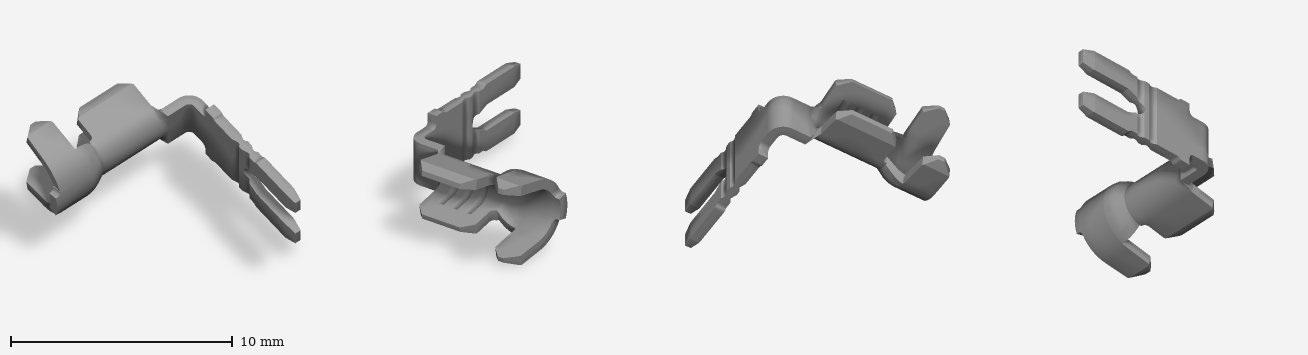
import cadquery as cq
import math

sheet = 0.5
overall_x = 10.64
overall_y = 8.38

bend_inner_radius = 0.3
bend_outer_radius = bend_inner_radius + sheet
neck_outer_x = 2.54
neck_inner_x = neck_outer_x + sheet
neck_end_y = 6.61
neck_half_height = 1.07
neck_fillet = 0.26
shoulder_x = 4.15
blade_half_height = 1.71
waist_half_height = 1.59
waist_step_length = 0.3
waist_start_x = 4.62
waist_end_x = 7.66
prong_inner_half_height = 0.66
slot_root_x = 6.92
slot_root_radius = 0.34
slot_taper_end_x = 7.95
tip_height_start_x = 10.07
tip_height_reduction = 0.15
tip_thickness_start_x = 10.0
tip_thickness_reduction = 0.1

groove_bottoms_x = (6.42, 7.17)
groove_floor_start = 0.07
groove_floor_end = 0.12
groove_exit_reach = 0.21
groove_flank_share = 0.85
front_groove_ramp = 0.33
front_groove_depth = 0.12
back_groove_ramp = 0.25
back_groove_depth = 0.1

wing_bevel_length = 0.46
wing_tip_thickness = sheet / 2
wing_corner_cut = 0.52

wire_radius = 1.15
wire_lean = math.radians(11)
wire_center_x = neck_inner_x - wire_radius
wire_tip_x = 0.25
wire_start_y = 3.17
wire_end_y = 6.35

insulation_radius = 1.82
insulation_lean = math.radians(10)
insulation_back_x = 3.42
insulation_center_x = insulation_back_x - insulation_radius
insulation_tip_x = 0.0
insulation_end_y = 1.9
insulation_rim_back_y = 0.3
insulation_rim_tip_y = 0.51
insulation_rim_corner_y = 0.48
insulation_rim_corner_cut = 0.66

flare_start_y = 2.9
flare_edge_angle = math.radians(21)
flare_steps = 6
wing_root_fillet = 0.23

serration_ys = (4.0, 4.77, 5.53)
serration_width = 0.37
serration_floor_width = 0.1
serration_depth = 0.09
serration_half_height = 0.79

tab_inner_half_width = 0.56
tab_outer_half_width = 0.68
tab_fillet = 0.19


def polar(center_x, radius, angle):
    """Point at the given radius, with the angle measured from +Z towards +X."""
    return (center_x + radius * math.sin(angle), radius * math.cos(angle))


def mirror_z(point):
    return (point[0], -point[1])


def xz_plane(y):
    """XZ sketch plane at the given Y; extrusions from it run towards -Y."""
    return cq.Workplane("XZ", origin=(0, y, 0))


def ring_section(y, center_x, outer_radius, edge_angle):
    """Closed C-shaped section of one sheet thickness, open towards -X."""
    inner_radius = outer_radius - sheet
    outer_edge = polar(center_x, outer_radius, edge_angle)
    inner_edge = polar(center_x, inner_radius, edge_angle)
    return (
        xz_plane(y)
        .moveTo(*inner_edge)
        .lineTo(*outer_edge)
        .threePointArc((center_x + outer_radius, 0), mirror_z(outer_edge))
        .lineTo(*mirror_z(inner_edge))
        .threePointArc((center_x + inner_radius, 0), inner_edge)
        .close()
    )


def barrel(center_x, outer_radius, lean, tip_x, start_y, end_y):
    """Round back with two leaning wings whose outer faces are bevelled at the tips."""
    inner_radius = outer_radius - sheet
    inner_root = polar(center_x, inner_radius, lean)
    outer_root = polar(center_x, outer_radius, lean)
    wing_length = (inner_root[0] - tip_x) / math.cos(lean)

    def along_wing(root, distance, rise=0.0):
        x = root[0] - distance * math.cos(lean) + rise * math.sin(lean)
        z = root[1] + distance * math.sin(lean) + rise * math.cos(lean)
        return (x, z)

    inner_tip = along_wing(inner_root, wing_length)
    outer_tip = along_wing(inner_root, wing_length, wing_tip_thickness)
    bevel_start = along_wing(outer_root, wing_length - wing_bevel_length)
    return (
        xz_plane(end_y)
        .moveTo(*inner_root)
        .lineTo(*inner_tip)
        .lineTo(*outer_tip)
        .lineTo(*bevel_start)
        .lineTo(*outer_root)
        .threePointArc((center_x + outer_radius, 0), mirror_z(outer_root))
        .lineTo(*mirror_z(bevel_start))
        .lineTo(*mirror_z(outer_tip))
        .lineTo(*mirror_z(inner_tip))
        .lineTo(*mirror_z(inner_root))
        .threePointArc((center_x + inner_radius, 0), inner_root)
        .close()
        .extrude(end_y - start_y)
    )


def through_z(workplane):
    """Prism of an XY outline, tall enough to pass through the whole part."""
    return workplane.extrude(overall_y, both=True)


def blade_groove(face_y, inward, bottom_x, ramp, depth):
    """Groove with a long ramp on the bend side, a rounded floor and a steep exit."""
    floor_x = bottom_x + (groove_floor_end - groove_floor_start) / 2
    arc_y = face_y + inward * depth * groove_flank_share
    return through_z(
        cq.Workplane("XY")
        .moveTo(bottom_x - ramp, face_y)
        .lineTo(bottom_x - groove_floor_start, arc_y)
        .threePointArc((floor_x, face_y + inward * depth), (bottom_x + groove_floor_end, arc_y))
        .lineTo(bottom_x + groove_exit_reach, face_y)
        .close()
    )


def blade_and_neck():
    """Bent strip profile trimmed to the blade outline, with the fork slot and grooves cut."""
    front_y = overall_y - sheet
    edge_profile = through_z(
        cq.Workplane("XY")
        .moveTo(neck_outer_x, neck_end_y)
        .lineTo(neck_outer_x, overall_y - bend_outer_radius)
        .radiusArc((neck_outer_x + bend_outer_radius, overall_y), bend_outer_radius)
        .lineTo(tip_thickness_start_x, overall_y)
        .lineTo(overall_x, overall_y - tip_thickness_reduction)
        .lineTo(overall_x, front_y + tip_thickness_reduction)
        .lineTo(tip_thickness_start_x, front_y)
        .lineTo(neck_inner_x + bend_inner_radius, front_y)
        .radiusArc((neck_inner_x, front_y - bend_inner_radius), -bend_inner_radius)
        .lineTo(neck_inner_x, neck_end_y)
        .close()
    )
    half_step = waist_step_length / 2
    middle_half_height = (blade_half_height + waist_half_height) / 2
    upper_half = (
        xz_plane(overall_y)
        .moveTo(0, 0)
        .lineTo(0, neck_half_height)
        .lineTo(shoulder_x - neck_fillet, neck_half_height)
        .radiusArc((shoulder_x, neck_half_height + neck_fillet), -neck_fillet)
        .lineTo(shoulder_x, blade_half_height)
        .lineTo(waist_start_x, blade_half_height)
        .tangentArcPoint((waist_start_x + half_step, middle_half_height), relative=False)
        .tangentArcPoint((waist_start_x + waist_step_length, waist_half_height), relative=False)
        .lineTo(waist_end_x, waist_half_height)
        .tangentArcPoint((waist_end_x + half_step, middle_half_height), relative=False)
        .tangentArcPoint((waist_end_x + waist_step_length, blade_half_height), relative=False)
        .lineTo(tip_height_start_x, blade_half_height)
        .lineTo(overall_x, blade_half_height - tip_height_reduction)
        .lineTo(overall_x, 0)
        .close()
        .extrude(overall_y)
    )
    outline = upper_half.union(upper_half.mirror("XY"))
    blade = edge_profile.intersect(outline).cut(fork_slot())
    for bottom_x in groove_bottoms_x:
        blade = blade.cut(blade_groove(front_y, 1, bottom_x, front_groove_ramp, front_groove_depth))
        blade = blade.cut(blade_groove(overall_y, -1, bottom_x, back_groove_ramp, back_groove_depth))
    return blade


def fork_slot():
    """Slot with a round root, straight flaring sides and parallel prongs."""
    center_x = slot_root_x + slot_root_radius
    run = slot_taper_end_x - center_x
    distance = math.hypot(run, prong_inner_half_height)
    corner_angle = math.atan2(run, prong_inner_half_height)
    tangent = polar(center_x, slot_root_radius, corner_angle - math.acos(slot_root_radius / distance))
    taper_end = (slot_taper_end_x, prong_inner_half_height)
    tip_start = (tip_height_start_x, prong_inner_half_height)
    tip_end = (overall_x, prong_inner_half_height + tip_height_reduction)
    return (
        xz_plane(overall_y)
        .moveTo(*tangent)
        .lineTo(*taper_end)
        .lineTo(*tip_start)
        .lineTo(*tip_end)
        .lineTo(*mirror_z(tip_end))
        .lineTo(*mirror_z(tip_start))
        .lineTo(*mirror_z(taper_end))
        .lineTo(*mirror_z(tangent))
        .threePointArc((slot_root_x, 0), tangent)
        .close()
        .extrude(sheet)
    )


def neck_transition():
    """Blend from the flat neck into the round back of the wire barrel."""
    inner_radius = wire_radius - sheet
    mid_angle = (wire_lean + math.pi / 2) / 2
    inner_edge = polar(wire_center_x, inner_radius, wire_lean)
    upper_flat = (
        xz_plane(neck_end_y)
        .moveTo(neck_outer_x, neck_half_height)
        .lineTo(neck_inner_x, neck_half_height)
        .lineTo(neck_inner_x, 0)
        .lineTo(neck_outer_x, 0)
        .close()
    )
    upper_round = (
        xz_plane(wire_end_y)
        .moveTo(*inner_edge)
        .lineTo(*polar(wire_center_x, wire_radius, wire_lean))
        .threePointArc(polar(wire_center_x, wire_radius, mid_angle), (neck_inner_x, 0))
        .lineTo(neck_outer_x, 0)
        .threePointArc(polar(wire_center_x, inner_radius, mid_angle), inner_edge)
        .close()
    )
    upper_half = cq.Workplane(cq.Solid.makeLoft([upper_flat.val(), upper_round.val()], True))
    return upper_half.union(upper_half.mirror("XY"))


def corner_cuts(center_x, outer_radius, lean, tip_x, edge_y, inward, length):
    """Cutters that bevel the same tip corner of both wings, square to the wing faces."""
    inner_root = polar(center_x, outer_radius - sheet, lean)
    tip_z = inner_root[1] + (inner_root[0] - tip_x) * math.tan(lean)
    upper = (
        cq.Workplane("XY", origin=(tip_x, edge_y, tip_z))
        .moveTo(-sheet, inward * (length + sheet))
        .lineTo(wing_corner_cut, 0)
        .lineTo(2 * wing_corner_cut, -inward * length)
        .lineTo(-sheet, -inward * length)
        .close()
        .extrude(2 * sheet, both=True)
        .rotate((tip_x, 0, tip_z), (tip_x, 1, tip_z), math.degrees(lean))
    )
    return upper.union(upper.mirror("XY"))


def serration(y):
    """Groove around the inside of the wire barrel with sloping flanks."""
    def bore_outline(offset_y, depth):
        radius = wire_radius - sheet + depth
        root = polar(wire_center_x, radius, wire_lean)
        surface_root = polar(wire_center_x, wire_radius - sheet, wire_lean)
        end_x = surface_root[0] - (serration_half_height - surface_root[1]) / math.tan(wire_lean)
        end = (end_x, root[1] + (root[0] - end_x) * math.tan(wire_lean))
        return (
            xz_plane(y + offset_y)
            .moveTo(*end)
            .lineTo(*root)
            .threePointArc((wire_center_x + radius, 0), mirror_z(root))
            .lineTo(*mirror_z(end))
            .close()
            .val()
        )

    outlines = [
        bore_outline(serration_width / 2, 0),
        bore_outline(serration_floor_width / 2, serration_depth),
        bore_outline(-serration_floor_width / 2, serration_depth),
        bore_outline(-serration_width / 2, 0),
    ]
    return cq.Workplane(cq.Solid.makeLoft(outlines, True))


def wire_barrel():
    """Wire barrel with bevelled wing corners and inner serrations."""
    shape = (wire_center_x, wire_radius, wire_lean, wire_tip_x)
    body = barrel(*shape, wire_start_y, wire_end_y)
    body = body.cut(corner_cuts(*shape, wire_start_y, 1, wing_corner_cut))
    body = body.cut(corner_cuts(*shape, wire_end_y, -1, wing_corner_cut))
    for y in serration_ys:
        body = body.cut(serration(y))
    return body


def wing_root():
    """Short continuation of the wire barrel back, with filleted wing roots."""
    edge_x = polar(wire_center_x, wire_radius - sheet, wire_lean)[0]
    wall = barrel(wire_center_x, wire_radius, wire_lean, wire_tip_x, flare_start_y, wire_start_y)
    fillet_start_y = wire_start_y - wing_root_fillet
    keep = through_z(
        cq.Workplane("XY")
        .moveTo(edge_x, flare_start_y)
        .lineTo(edge_x, fillet_start_y)
        .radiusArc((edge_x - wing_root_fillet, wire_start_y), -wing_root_fillet)
        .lineTo(neck_inner_x + sheet, wire_start_y)
        .lineTo(neck_inner_x + sheet, flare_start_y)
        .close()
    )
    return wall.intersect(keep)


def flare():
    """Bridge that widens quickly from the wire barrel and levels out at the insulation barrel."""
    sections = []
    for step in range(flare_steps + 1):
        fraction = step / flare_steps
        ease = math.sin(math.pi / 2 * fraction)
        y = flare_start_y + fraction * (insulation_end_y - flare_start_y)
        center_x = wire_center_x + ease * (insulation_center_x - wire_center_x)
        radius = wire_radius + ease * (insulation_radius - wire_radius)
        edge_angle = wire_lean + ease * (flare_edge_angle - wire_lean)
        sections.append(ring_section(y, center_x, radius, edge_angle).val())
    return cq.Workplane(cq.Solid.makeLoft(sections, False))


def insulation_barrel():
    """Insulation barrel with a slanting rim, bevelled wing corners and the cut-off tab."""
    shape = (insulation_center_x, insulation_radius, insulation_lean, insulation_tip_x)
    body = barrel(*shape, 0, insulation_end_y)
    below_rim = through_z(
        cq.Workplane("XY")
        .moveTo(insulation_tip_x, insulation_rim_tip_y)
        .lineTo(insulation_back_x, insulation_rim_back_y)
        .lineTo(insulation_back_x, 0)
        .lineTo(insulation_tip_x, 0)
        .close()
    )
    tab = body.intersect(tab_envelope())
    body = body.cut(below_rim)
    body = body.cut(corner_cuts(*shape, insulation_end_y, -1, wing_corner_cut))
    body = body.cut(corner_cuts(*shape, insulation_rim_corner_y, 1, insulation_rim_corner_cut))
    return body.union(tab)


def tab_envelope():
    """Tab that widens with concave fillets into the rim of the barrel."""
    root_y = insulation_rim_back_y
    top_y = insulation_rim_tip_y

    def outline(x, half_width):
        root_half_width = half_width + tab_fillet
        return (
            cq.Workplane("YZ", origin=(x, 0, 0))
            .moveTo(0, -half_width)
            .lineTo(0, half_width)
            .lineTo(root_y - tab_fillet, half_width)
            .radiusArc((root_y, root_half_width), -tab_fillet)
            .lineTo(top_y, root_half_width)
            .lineTo(top_y, -root_half_width)
            .lineTo(root_y, -root_half_width)
            .radiusArc((root_y - tab_fillet, -half_width), -tab_fillet)
            .close()
            .val()
        )

    reach_x = insulation_back_x - 2 * sheet
    reach_half_width = 2 * tab_inner_half_width - tab_outer_half_width
    outlines = [outline(reach_x, reach_half_width), outline(insulation_back_x, tab_outer_half_width)]
    return cq.Workplane(cq.Solid.makeLoft(outlines, True))


result = (
    blade_and_neck()
    .union(neck_transition())
    .union(wire_barrel())
    .union(wing_root())
    .union(flare())
    .union(insulation_barrel())
)